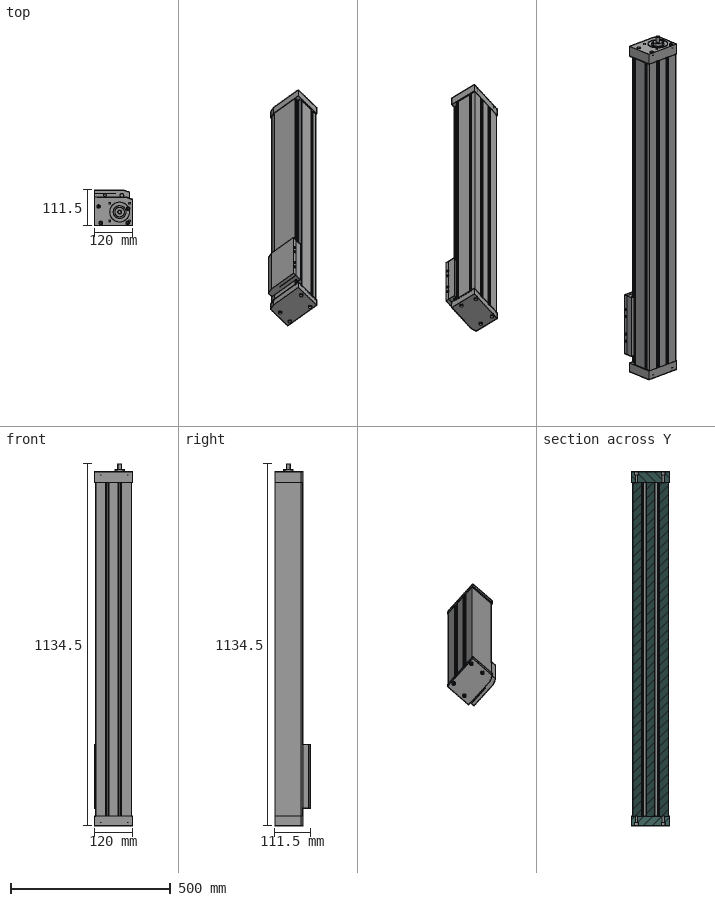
import cadquery as cq

WIDTH = 120.0
BLOCK_DEPTH = 89.0
TOTAL_DEPTH = 111.5
TOTAL_HEIGHT = 1134.5

SHAFT_STICKOUT = 24.5
DRIVE_BLOCK_HEIGHT = 34.0
TAIL_BLOCK_HEIGHT = 30.0
BEVEL_X = 18.0
BEVEL_Y = 6.5
BLOCK_TOP = TOTAL_HEIGHT - SHAFT_STICKOUT
SCREW_POINTS = [(13.0, 60.0), (20.0, 8.5), (104.0, 8.5), (105.5, 53.5)]
SCREW_HOLE = 6.0
SCREW_HEAD = 11.0
SCREW_HEAD_DEPTH = 10.0

SHAFT_X = 79.0
SHAFT_Y = 42.6
SHAFT_DIAMETER = 12.0
SHAFT_CHAMFER = 1.0
COLLAR_DIAMETER = 30.0
COLLAR_HEIGHT = 6.5
BEARING_DIAMETER = 40.0
BEARING_DEPTH = 2.0
PILOT_DIAMETER = 62.0
PILOT_DEPTH = 1.0
MOUNT_HOLE = 6.0
MOUNT_SPACING_X = 62.0
MOUNT_SPACING_Y = 55.0
MOUNT_DEPTH = 15.0

SIDE_INSET = 3.5
PROFILE_BACK = 88.0
PROFILE_HEIGHT = BLOCK_TOP - DRIVE_BLOCK_HEIGHT - TAIL_BLOCK_HEIGHT
SHOULDER_Y = 72.0
LEDGE_X = 8.0
LEDGE_Y = 76.5
NECK_X = 12.0
NECK_GROOVE_WIDTH = 3.0
NECK_GROOVE_Y = [81.0, 86.0]
SLOT_SPACING = 40.0
SLOT_MOUTH = 11.0
SLOT_MOUTH_DEPTH = 1.5
SLOT_THROAT = 5.0
SLOT_THROAT_DEPTH = 5.0
SLOT_CAVITY = 14.0
SLOT_CAVITY_DEPTH = 6.0
SIDE_GROOVE_Y = 18.5
SIDE_GROOVE_WIDTH = 7.0
GROOVE_DEPTH = 2.0
UPPER_GROOVE_Y = 68.0
UPPER_GROOVE_WIDTH = 2.0

CARRIAGE_WIDTH = 110.0
CARRIAGE_LENGTH = 201.0
CARRIAGE_BOTTOM = 54.5
FLANGE_Y = 78.5
FLANGE_THICKNESS = 9.0
SPLIT_Y = 100.2
SPLIT_WIDTH = 0.5
SPLIT_DEPTH = 66.0
SIDE_HOLE_Y = 105.0
SIDE_HOLE_OFFSETS = [54.0, 30.0]
SIDE_HOLE_CENTER = 98.5
SIDE_HOLE = 4.2
SIDE_HOLE_MOUTH = 7.0
SIDE_HOLE_MOUTH_DEPTH = 2.0
SIDE_HOLE_DEPTH = 12.0
END_HOLE_DEPTH = 15.0
END_HOLES = [(33.0, 95.5, 8.38), (86.0, 94.5, 12.0)]


def box(x0, x1, y0, y1, z0, z1):
    """Box between two opposite corners."""
    return cq.Workplane("XY").box(x1 - x0, y1 - y0, z1 - z0, centered=False).translate((x0, y0, z0))


def extrude_outline(outline, bottom, height):
    """Upright prism on a closed polygon."""
    return cq.Workplane("XY", origin=(0, 0, bottom)).polyline(outline).close().extrude(height)


def drill(x, y, diameter, top, depth):
    """Vertical cylinder reaching down from the height top."""
    return cq.Workplane("XY", origin=(x, y, top - depth)).circle(diameter / 2).extrude(depth)


def side_drill(y, z, diameter, depth):
    """Horizontal cylinder reaching in from the plane X = 0."""
    return cq.Workplane("YZ", origin=(0, y, z)).circle(diameter / 2).extrude(depth)


def end_block(bottom, height):
    """Plain end block with its far back corner bevelled off."""
    outline = [
        (0, 0),
        (WIDTH, 0),
        (WIDTH, BLOCK_DEPTH - BEVEL_Y),
        (WIDTH - BEVEL_X, BLOCK_DEPTH),
        (0, BLOCK_DEPTH),
    ]
    return extrude_outline(outline, bottom, height)


def cut_screw_holes(block, block_top, block_height, head_top):
    """Through holes with head recesses whose upper ends are at head_top."""
    for x, y in SCREW_POINTS:
        block = block.cut(drill(x, y, SCREW_HOLE, block_top, block_height))
        block = block.cut(drill(x, y, SCREW_HEAD, head_top, SCREW_HEAD_DEPTH))
    return block


def make_tail_block():
    """Lower end block, with the screw heads sunk into its underside."""
    block = end_block(0, TAIL_BLOCK_HEIGHT)
    return cut_screw_holes(block, TAIL_BLOCK_HEIGHT, TAIL_BLOCK_HEIGHT, SCREW_HEAD_DEPTH)


def make_drive_block():
    """Upper end block with the bearing seat and motor mounting holes."""
    block = end_block(BLOCK_TOP - DRIVE_BLOCK_HEIGHT, DRIVE_BLOCK_HEIGHT)
    block = cut_screw_holes(block, BLOCK_TOP, DRIVE_BLOCK_HEIGHT, BLOCK_TOP)
    for side_x in (-1, 1):
        for side_y in (-1, 1):
            x = SHAFT_X + side_x * MOUNT_SPACING_X / 2
            y = SHAFT_Y + side_y * MOUNT_SPACING_Y / 2
            block = block.cut(drill(x, y, MOUNT_HOLE, BLOCK_TOP, MOUNT_DEPTH))
    block = block.cut(drill(SHAFT_X, SHAFT_Y, PILOT_DIAMETER, BLOCK_TOP, PILOT_DEPTH))
    block = block.cut(drill(SHAFT_X, SHAFT_Y, BEARING_DIAMETER, BLOCK_TOP, PILOT_DEPTH + BEARING_DEPTH))
    return block.cut(drill(SHAFT_X, SHAFT_Y, SHAFT_DIAMETER, BLOCK_TOP, DRIVE_BLOCK_HEIGHT))


def make_shaft():
    """Drive shaft with a collar resting on the floor of the bearing seat."""
    collar_bottom = BLOCK_TOP - PILOT_DEPTH - BEARING_DEPTH
    collar_top = BLOCK_TOP + COLLAR_HEIGHT
    shaft = drill(SHAFT_X, SHAFT_Y, SHAFT_DIAMETER, TOTAL_HEIGHT, SHAFT_STICKOUT + DRIVE_BLOCK_HEIGHT)
    shaft = shaft.faces(">Z").chamfer(SHAFT_CHAMFER)
    return shaft.union(drill(SHAFT_X, SHAFT_Y, COLLAR_DIAMETER, collar_top, collar_top - collar_bottom))


def make_profile():
    """Extruded beam with two T-slots in front and grooves along its left side."""
    left = SIDE_INSET
    right = WIDTH - SIDE_INSET
    z0 = TAIL_BLOCK_HEIGHT
    z1 = TAIL_BLOCK_HEIGHT + PROFILE_HEIGHT
    outline = [
        (left, 0),
        (right, 0),
        (right, PROFILE_BACK - BEVEL_Y),
        (right - BEVEL_X, PROFILE_BACK),
        (NECK_X, PROFILE_BACK),
        (NECK_X, LEDGE_Y),
        (LEDGE_X, LEDGE_Y),
        (left, SHOULDER_Y),
    ]
    body = extrude_outline(outline, z0, PROFILE_HEIGHT)
    for side in (-1, 1):
        x = WIDTH / 2 + side * SLOT_SPACING / 2
        for width, near, far in (
            (SLOT_MOUTH, 0, SLOT_MOUTH_DEPTH),
            (SLOT_THROAT, SLOT_MOUTH_DEPTH, SLOT_THROAT_DEPTH),
            (SLOT_CAVITY, SLOT_THROAT_DEPTH, SLOT_THROAT_DEPTH + SLOT_CAVITY_DEPTH),
        ):
            body = body.cut(box(x - width / 2, x + width / 2, near, far, z0, z1))
    side_grooves = [
        (left, SIDE_GROOVE_Y, SIDE_GROOVE_WIDTH),
        (left, UPPER_GROOVE_Y, UPPER_GROOVE_WIDTH),
    ]
    side_grooves += [(NECK_X, y, NECK_GROOVE_WIDTH) for y in NECK_GROOVE_Y]
    for x, y, width in side_grooves:
        body = body.cut(box(x, x + GROOVE_DEPTH, y - width / 2, y + width / 2, z0, z1))
    return body


def make_carriage():
    """Slide on the back of the profile, with a flange reaching over its left shoulder."""
    z0 = CARRIAGE_BOTTOM
    outline = [
        (0, FLANGE_Y),
        (FLANGE_THICKNESS, FLANGE_Y),
        (FLANGE_THICKNESS, PROFILE_BACK),
        (CARRIAGE_WIDTH, PROFILE_BACK),
        (CARRIAGE_WIDTH, TOTAL_DEPTH - BEVEL_Y),
        (CARRIAGE_WIDTH - BEVEL_X, TOTAL_DEPTH),
        (0, TOTAL_DEPTH),
    ]
    z1 = z0 + CARRIAGE_LENGTH
    body = extrude_outline(outline, z0, CARRIAGE_LENGTH)
    body = body.cut(box(0, SPLIT_DEPTH, SPLIT_Y, SPLIT_Y + SPLIT_WIDTH, z0, z1))
    for x, y, diameter in END_HOLES:
        body = body.cut(drill(x, y, diameter, z1, END_HOLE_DEPTH))
    middle = z0 + SIDE_HOLE_CENTER
    for offset in SIDE_HOLE_OFFSETS:
        for z in (middle - offset, middle + offset):
            body = body.cut(side_drill(SIDE_HOLE_Y, z, SIDE_HOLE, SIDE_HOLE_DEPTH))
            body = body.cut(side_drill(SIDE_HOLE_Y, z, SIDE_HOLE_MOUTH, SIDE_HOLE_MOUTH_DEPTH))
    return body


tail_block = make_tail_block()
drive_block = make_drive_block()
profile = make_profile()
carriage = make_carriage()
shaft = make_shaft()

result = cq.Compound.makeCompound(
    [tail_block.val(), drive_block.val(), profile.val(), carriage.val(), shaft.val()]
)